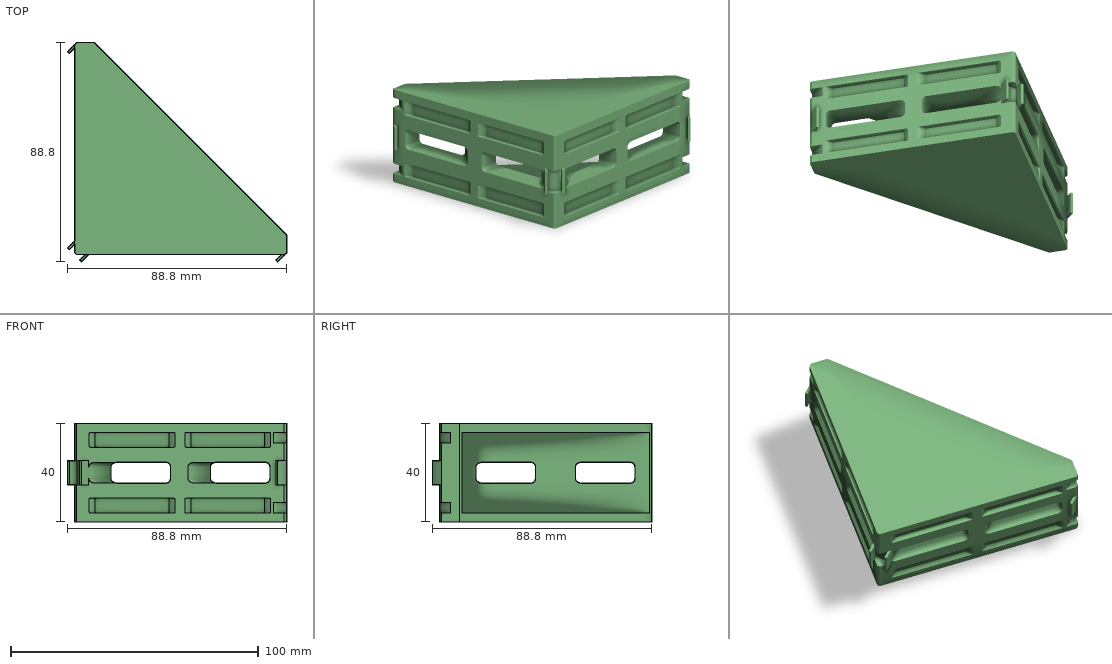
import cadquery as cq
import math


overall_length = 88.8
leg_length = 85.9
height = 40.0
tip_width = 8.0
corner_chamfer = 0.8
tip_chamfer_run = 1.15
tip_chamfer_rise = 0.7
wall = 9.1
cover = 3.6

tab_reach = overall_length - leg_length
tab_thickness = 1.1
tab_height = 9.9
tab_root = 0.7
corner_tab_start = 5.7
tip_tab_start = 85.1
tab_width_on_face = tab_thickness * math.sqrt(2)

recess_depth = 5.95

gap_width = 1.1
gap_depth = 1.4

slot_starts = (corner_tab_start, 45.9)
slot_length = 33.05
slot_height = 8.35
slot_radius = 1.8

pocket_starts = (5.9, 44.6)
pocket_length = 34.7
pocket_height = 6.0
pocket_depth = 2.1
pocket_taper = 2.4
pocket_radius = 0.5
pocket_offset = height / 2 - cover - pocket_height / 2

notch_length = 5.4
notch_rise = 4.4
notch_height = 4.35
notch_offset = height / 2 - cover - notch_height / 2


def prism(points, depth, z_center=0):
    """Extrude an XY outline symmetrically about the height z_center."""
    outline = cq.Workplane("XY").workplane(offset=z_center).polyline(points).close()
    return outline.extrude(depth / 2, both=True)


def on_both_legs(shape):
    """Join a shape on the X leg with its copy on the Y leg (half turn about X = Y)."""
    return shape.union(shape.rotate((0, 0, 0), (1, 1, 0), 180))


def body():
    return prism(
        [
            (corner_chamfer, 0),
            (leg_length - tip_chamfer_run, 0),
            (leg_length, tip_chamfer_rise),
            (leg_length, tip_width),
            (tip_width, leg_length),
            (tip_chamfer_rise, leg_length),
            (0, leg_length - tip_chamfer_run),
            (0, corner_chamfer),
        ],
        height,
    )


def cavity():
    """Space between the cover plates, open on the sloping side."""
    return prism([(wall, wall), (leg_length, wall), (wall, leg_length)], height - 2 * cover)


def tab(start):
    """Thin bar along (1, 1) whose outer side meets the leg face at x = start."""
    inner = start - tab_width_on_face
    inner_reach = tab_reach - tab_width_on_face / 2
    return prism(
        [
            (start - tab_reach, -tab_reach),
            (start + tab_root, tab_root),
            (inner + tab_root, tab_root),
            (inner - inner_reach, -inner_reach),
        ],
        tab_height,
    )


def corner_recess():
    half_width = corner_tab_start - tab_width_on_face
    back_near = (recess_depth - half_width) / 2
    back_far = (recess_depth + half_width) / 2
    return prism(
        [(0, 0), (half_width, 0), (back_far, back_near), (back_near, back_far), (0, half_width)],
        tab_height,
    )


def tip_gap():
    start = tip_tab_start - tab_width_on_face - gap_width
    end = start + gap_depth
    return prism([(start, 0), (end, 0), (end, gap_depth)], tab_height)


def slot(start):
    end = start + slot_length
    blank = prism([(start, 0), (end, 0), (end, wall), (start + wall, wall)], slot_height)
    return blank.edges("not #Y").fillet(slot_radius)


def pocket(start, z_center):
    end = start + pocket_length
    blank = prism(
        [
            (start, 0),
            (end, 0),
            (end - pocket_taper, pocket_depth),
            (start + pocket_taper, pocket_depth),
        ],
        pocket_height,
        z_center,
    )
    return blank.edges("not #Y").fillet(pocket_radius)


def tip_notch(z_center):
    return prism(
        [(leg_length - notch_length, 0), (leg_length, 0), (leg_length, notch_rise)],
        notch_height,
        z_center,
    )


result = body().cut(cavity()).cut(corner_recess()).cut(on_both_legs(tip_gap()))

for slot_start in slot_starts:
    result = result.cut(on_both_legs(slot(slot_start)))

for side in (-1, 1):
    result = result.cut(on_both_legs(tip_notch(side * notch_offset)))
    for pocket_start in pocket_starts:
        result = result.cut(on_both_legs(pocket(pocket_start, side * pocket_offset)))

for tab_start in (corner_tab_start, tip_tab_start):
    result = result.union(on_both_legs(tab(tab_start)))